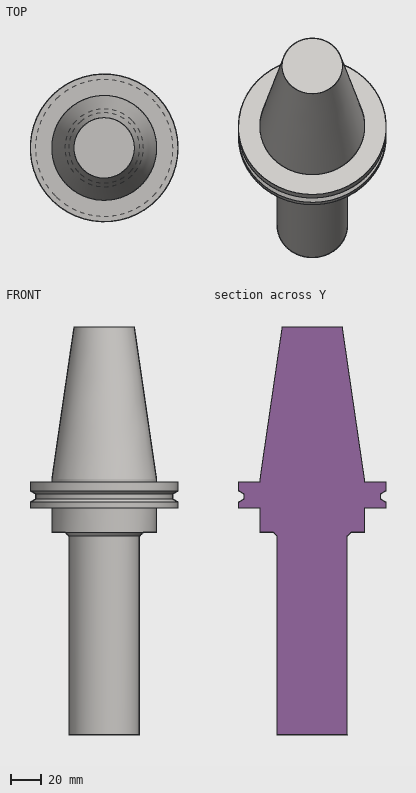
import cadquery as cq
import math


gauge_diameter = 69.85
taper_length = 101.6
taper_ratio = 7 / 24
taper_tip_diameter = gauge_diameter - taper_length * taper_ratio

flange_diameter = 98.42
flange_top_z = -1.5
flange_bottom_z = -19.05
groove_diameter = 91.29
groove_center_z = -11.3
groove_floor_width = 3.3
groove_included_angle = 60

collar_diameter = gauge_diameter
collar_bottom_z = -35.2

nose_diameter = 47
nose_bottom_z = -170
nose_root_chamfer = 2.5


def make_body():
    """Revolve the stepped outline, including the cone at the root of the nose."""
    gauge_radius = gauge_diameter / 2
    tip_radius = taper_tip_diameter / 2
    flange_radius = flange_diameter / 2
    collar_radius = collar_diameter / 2
    nose_radius = nose_diameter / 2
    outline = [
        (0, nose_bottom_z),
        (nose_radius, nose_bottom_z),
        (nose_radius, collar_bottom_z - nose_root_chamfer),
        (nose_radius + nose_root_chamfer, collar_bottom_z),
        (collar_radius, collar_bottom_z),
        (collar_radius, flange_bottom_z),
        (flange_radius, flange_bottom_z),
        (flange_radius, flange_top_z),
        (gauge_radius, flange_top_z),
        (gauge_radius, 0),
        (tip_radius, taper_length),
        (0, taper_length),
    ]
    return cq.Workplane("XZ").polyline(outline).close().revolve(360, (0, 0), (0, 1))


def make_groove_ring():
    """Ring of material removed by the flat-bottomed V-groove in the flange rim."""
    floor_radius = groove_diameter / 2
    rim_radius = flange_diameter / 2
    wall_run = (rim_radius - floor_radius) * math.tan(math.radians(groove_included_angle / 2))
    floor_half = groove_floor_width / 2
    rim_half = floor_half + wall_run
    section = [
        (floor_radius, groove_center_z - floor_half),
        (rim_radius, groove_center_z - rim_half),
        (rim_radius, groove_center_z + rim_half),
        (floor_radius, groove_center_z + floor_half),
    ]
    return cq.Workplane("XZ").polyline(section).close().revolve(360, (0, 0), (0, 1))


result = make_body().cut(make_groove_ring())